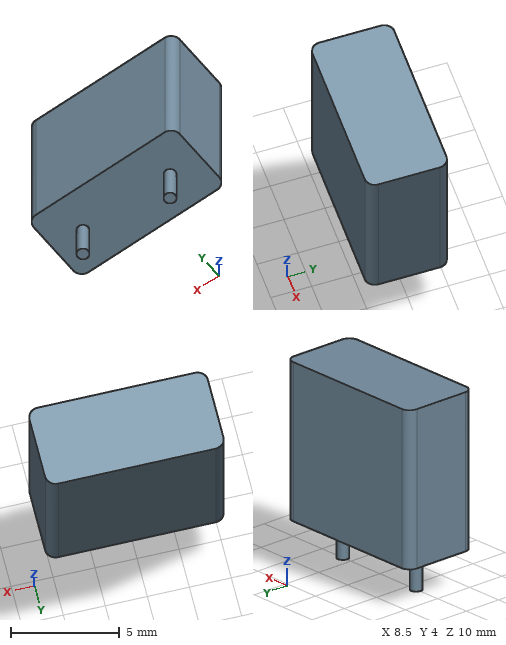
import cadquery as cq

body_length = 8.5
body_width = 4.0
body_height = 8.0
corner_radius = 0.5

pin_diameter = 0.6
pin_length = 2.0
pin_pitch = 5.08


def make_body():
    """Block standing on Z = 0 with its four upright edges filleted."""
    block = cq.Workplane("XY").box(
        body_length, body_width, body_height, centered=(True, True, False)
    )
    return block.edges("|Z").fillet(corner_radius)


def make_pins():
    """Pair of straight pins hanging from the underside of the body."""
    pin_centres = [(side * pin_pitch / 2, 0) for side in (-1, 1)]
    return (
        cq.Workplane("XY")
        .pushPoints(pin_centres)
        .circle(pin_diameter / 2)
        .extrude(-pin_length)
    )


result = make_body().union(make_pins())